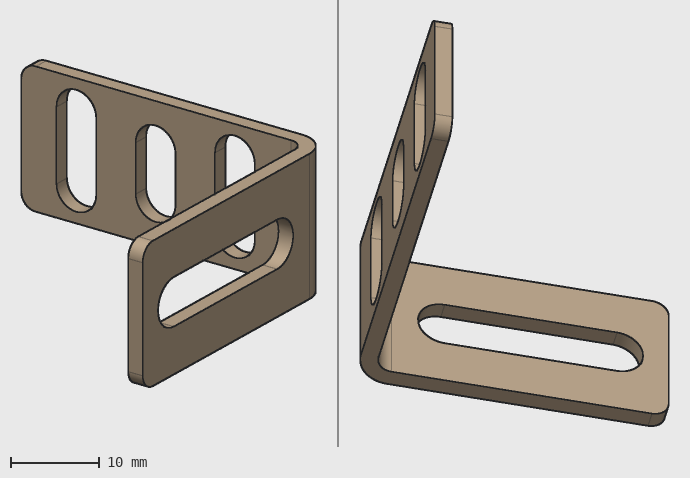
import cadquery as cq

length_x = 41.4
length_y = 36.0
height = 17.9

thickness = 2.03
inner_bend_radius = 1.9
outer_bend_radius = inner_bend_radius + thickness
corner_radius = 2.0

upright_slot_width = 5.5
upright_slot_pitch = 11.0
middle_slot_x = 18.67
outer_slot_length = 15.0
middle_slot_length = 11.85

side_slot_length = 26.0
side_slot_width = 6.1
side_slot_from_back = 20.05

mid_height = height / 2
cut_depth = 2 * thickness


def bent_sheet():
    """L-shaped sheet: long leg along X at the back, short leg along Y on the right."""
    sheet = (
        cq.Workplane("XY")
        .moveTo(0, length_y)
        .lineTo(length_x, length_y)
        .lineTo(length_x, 0)
        .lineTo(length_x - thickness, 0)
        .lineTo(length_x - thickness, length_y - thickness)
        .lineTo(0, length_y - thickness)
        .close()
        .extrude(height)
    )
    sheet = sheet.edges("|Z and >X and >Y").fillet(outer_bend_radius)
    inner_corner = cq.selectors.NearestToPointSelector(
        (length_x - thickness, length_y - thickness, mid_height)
    )
    return sheet.edges("|Z").edges(inner_corner).fillet(inner_bend_radius)


def upright_slot(x, slot_length):
    """Cutter through the long leg, centred at mid-height."""
    return (
        cq.Workplane("XZ", origin=(x, length_y + thickness / 2, mid_height))
        .slot2D(slot_length, upright_slot_width, 90)
        .extrude(cut_depth)
    )


def side_slot():
    """Cutter through the short leg, running along Y at mid-height."""
    return (
        cq.Workplane("YZ", origin=(length_x - 1.5 * thickness, length_y - side_slot_from_back, mid_height))
        .slot2D(side_slot_length, side_slot_width)
        .extrude(cut_depth)
    )


result = bent_sheet()
result = result.faces("<X").edges("|Y").fillet(corner_radius)
result = result.faces("<Y").edges("|X").fillet(corner_radius)

for offset, slot_length in (
    (-upright_slot_pitch, outer_slot_length),
    (0, middle_slot_length),
    (upright_slot_pitch, outer_slot_length),
):
    result = result.cut(upright_slot(middle_slot_x + offset, slot_length))
result = result.cut(side_slot())